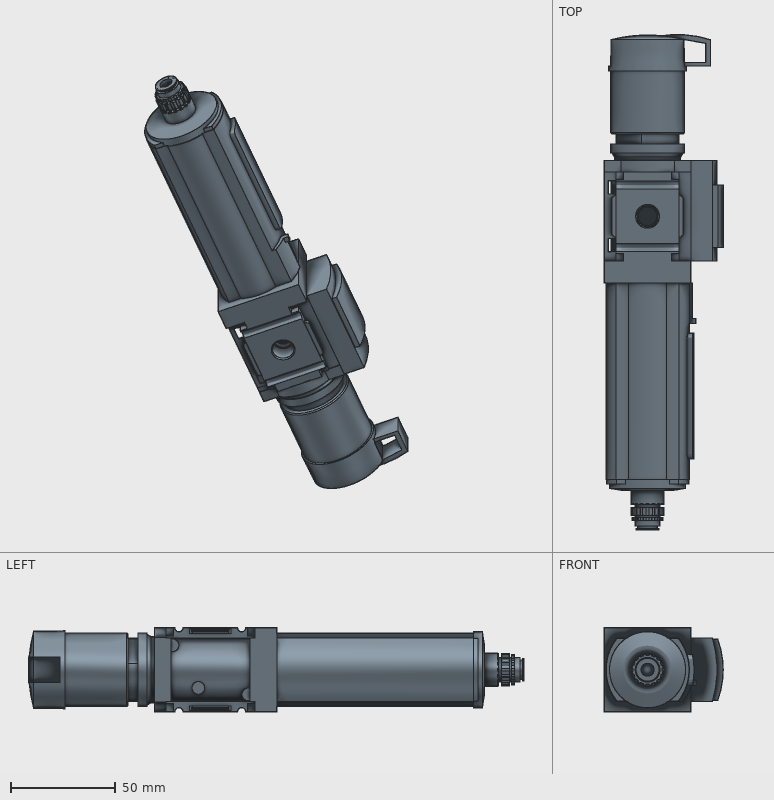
import cadquery as cq
import math


Y_KNOB_TOP = 87.0
Y_CAP_EDGE = 84.5
Y_SLOT_FLOOR = 71.9
Y_CAP_BASE = 69.5
Y_KNOB_BOTTOM = 39.4
Y_NECK_BOTTOM = 34.6
Y_RING_BOTTOM = 30.4
Y_CONE_BOTTOM = 28.3
Y_HOUSING_TOP = 26.8
Y_PLATE_TOP = 21.1
Y_BLOCK_TOP = -21.4
Y_HOUSING_BOTTOM = -31.8
Y_BOWL_END = -126.0
Y_LIP_END = -128.1
Y_BOWL_RIM = -130.2
Y_BOWL_FACE = -131.3
Y_DRAIN_END = -150.01

HOUSING_HALF_WIDTH = 20.75
HOUSING_HALF_HEIGHT = 20.1
LUG_HALF_HEIGHT = 15.5
RAIL_HALF_HEIGHT = 15.1
PLATE_HALF_WIDTH = 15.0
PAD_HALF_WIDTH = 17.2
PAD_HALF_LENGTH = 10.0
PAD_BEVEL = 1.4
PAD_LOW_Z = 17.4
PAD_HIGH_Z = 19.5
PAD_GROOVE_SIZE = 0.3
PAD_GROOVE_Z = (18.1, 18.8)
PORT_MOUTH_DIAMETER = 11.4
PORT_DIAMETER = 10.2
PORT_BEVEL = 0.6
PORT_DEPTH = 9.0
PORT_CORE_DIAMETER = 8.9
PORT_CORE_DEPTH = 12.0
GROOVE_Y = 15.0
GROOVE_RADIUS = 1.9
NOTCH_INNER_X = 11.4
NOTCH_LENGTH = 3.6
NOTCH_FLOOR_Z = 16.2
WINDOW_TOP_Y = 18.9
WINDOW_BOTTOM_Y = -19.1
WINDOW_HALF_HEIGHT = 14.6
CORE_RADIUS = 17.6
POCKET_INNER_X = -15.2
POCKET_OUTER_X = -18.7
POCKET_LENGTH = 6.2
POCKET_Y = 13.8
PIN_DIAMETER = 6.1
PIN_END_X = -17.0
WINDOW_PIN_YZ = [(5.7, -8.7), (18.1, 11.7), (-18.2, -11.8)]

COVER_HALF_HEIGHT = 15.2
COVER_EDGE_X = 31.0
COVER_CROWN_X = 33.2
GAUGE_HALF_HEIGHT = 14.6
GAUGE_HALF_LENGTH = 15.0
GAUGE_EDGE_X = 33.6
GAUGE_CROWN_X = 36.25

NECK_RADIUS = 15.1
NECK_FLAT_DISTANCE = 12.55
NECK_FLAT_TILT = 45
RING_RADIUS = 17.7
CONE_RADIUS = 17.1
COLLAR_RADIUS = 15.8

BOWL_RADIUS = 17.6
BOWL_HALF_WIDTH = 20.0
BOWL_FLAT_HALF_WIDTH = 15.0
BOWL_FLAT_Z = 15.1
BOWL_LIP_RECESS = 0.2
BOWL_RIM_RADIUS = 18.2
BOWL_HUB_RADIUS = 11.4

DRAIN_RADIUS = 7.9
DRAIN_CORE_RADIUS = 5.9
DRAIN_BARB_RADIUS = 7.4
DRAIN_GROOVE_RADIUS = 4.7
DRAIN_RIM_RADIUS = 5.5
DRAIN_BORE_DIAMETER = 6.2
DRAIN_BORE_DEPTH = 8.0
DRAIN_TOOTH_COUNT = 16
DRAIN_TOOTH_GAP = 1.4
DRAIN_TOOTH_DEPTH = 1.0

KNOB_RADIUS = 17.7
KNOB_BEVEL = 0.6
CAP_BASE_RADIUS = 18.7
CAP_EDGE_RADIUS = 18.5
SLOT_WIDTH = 12.0
LOCK_INNER_X = -1.6
LOCK_WINDOW_X = 17.2
LOCK_OUTER_X = 30.2
LOCK_WALL = 2.4
LOCK_FOOT = 1.8
LOCK_EDGE_Y = 84.5


def box(x0, x1, y0, y1, z0, z1):
    """Box between two opposite corners."""
    return cq.Workplane("XY").box(x1 - x0, y1 - y0, z1 - z0, centered=False).translate((x0, y0, z0))


def section_along_y(sketch, y_top, y_bottom):
    """Extrude a section drawn in X and Z from y_top down to y_bottom."""
    return sketch(cq.Workplane("XZ", origin=(0, y_top, 0))).extrude(y_top - y_bottom)


def cylinder_along_y(radius, y_top, y_bottom):
    return section_along_y(lambda plane: plane.circle(radius), y_top, y_bottom)


def turned(profile):
    """Turn a (radius, y) profile, closed along the axis, about Y."""
    first_y = profile[0][1]
    last_y = profile[-1][1]
    points = [(0, first_y)] + profile + [(0, last_y)]
    return cq.Workplane("XY").polyline(points).close().revolve(360, (0, 0, 0), (0, 1, 0))


def stepped(steps, y_start):
    """Turned stack of plain cylinders given as (radius, lower y)."""
    profile = []
    y_upper = y_start
    for radius, y_lower in steps:
        profile += [(radius, y_upper), (radius, y_lower)]
        y_upper = y_lower
    return turned(profile)


def side_pads(side):
    """Bevelled, finely grooved pads on both flanks of the +Z or -Z port plate."""
    z_low, z_high = sorted((side * PAD_LOW_Z, side * PAD_HIGH_Z))
    pads = box(
        -PAD_HALF_WIDTH, PAD_HALF_WIDTH, -PAD_HALF_LENGTH, PAD_HALF_LENGTH, z_low, z_high
    ).edges("|Z").chamfer(PAD_BEVEL)
    for z in PAD_GROOVE_Z:
        z0 = side * z - PAD_GROOVE_SIZE / 2
        z1 = z0 + PAD_GROOVE_SIZE
        for x in (-PAD_HALF_WIDTH, PAD_HALF_WIDTH):
            x0 = x - PAD_GROOVE_SIZE
            x1 = x + PAD_GROOVE_SIZE
            pads = pads.cut(box(x0, x1, -PAD_HALF_LENGTH, PAD_HALF_LENGTH, z0, z1))
    return pads


def housing_block():
    rails = box(
        -HOUSING_HALF_WIDTH, HOUSING_HALF_WIDTH, Y_BLOCK_TOP, Y_PLATE_TOP,
        -RAIL_HALF_HEIGHT, RAIL_HALF_HEIGHT,
    )
    lugs = box(
        -HOUSING_HALF_WIDTH, HOUSING_HALF_WIDTH, Y_PLATE_TOP, Y_HOUSING_TOP,
        -LUG_HALF_HEIGHT, LUG_HALF_HEIGHT,
    )
    block = box(
        -HOUSING_HALF_WIDTH, HOUSING_HALF_WIDTH, Y_HOUSING_BOTTOM, Y_BLOCK_TOP,
        -HOUSING_HALF_HEIGHT, HOUSING_HALF_HEIGHT,
    )
    plates = box(
        -PLATE_HALF_WIDTH, PLATE_HALF_WIDTH, Y_BLOCK_TOP, Y_PLATE_TOP,
        -HOUSING_HALF_HEIGHT, HOUSING_HALF_HEIGHT,
    )
    collar = cylinder_along_y(HOUSING_HALF_HEIGHT, Y_HOUSING_TOP, Y_PLATE_TOP)
    body = rails.union(lugs).union(block).union(plates).union(collar)
    return body.union(side_pads(1)).union(side_pads(-1))


def window_cut():
    """Side window on -X that leaves the round core and the pin ends standing."""
    opening = box(
        -HOUSING_HALF_WIDTH, 0, WINDOW_BOTTOM_Y, WINDOW_TOP_Y,
        -WINDOW_HALF_HEIGHT, WINDOW_HALF_HEIGHT,
    )
    core = cylinder_along_y(CORE_RADIUS, WINDOW_TOP_Y, WINDOW_BOTTOM_Y)
    opening = opening.cut(core)
    for y, z in WINDOW_PIN_YZ:
        pin = cq.Workplane("YZ", origin=(PIN_END_X, y, z)).circle(PIN_DIAMETER / 2).extrude(-PIN_END_X)
        opening = opening.cut(pin)
    return opening


def face_cuts(side):
    """Port, clip grooves, notches and pockets on the +Z (side 1) or -Z (side -1) face."""
    top = HOUSING_HALF_HEIGHT
    port_plane = cq.Workplane("XY", origin=(0, 0, side * top))
    cuts = port_plane.circle(PORT_DIAMETER / 2).extrude(-side * PORT_DEPTH)
    mouth = (
        port_plane.circle(PORT_MOUTH_DIAMETER / 2)
        .workplane(offset=-side * PORT_BEVEL)
        .circle(PORT_DIAMETER / 2)
        .loft(combine=False)
    )
    cuts = cuts.union(mouth)
    cuts = cuts.union(port_plane.circle(PORT_CORE_DIAMETER / 2).extrude(-side * PORT_CORE_DEPTH))
    for y in (-GROOVE_Y, GROOVE_Y):
        groove = cq.Workplane("YZ", origin=(-PLATE_HALF_WIDTH, y, side * top))
        cuts = cuts.union(groove.circle(GROOVE_RADIUS).extrude(2 * PLATE_HALF_WIDTH))
    z_low, z_high = sorted((side * NOTCH_FLOOR_Z, side * top))
    for y0 in (Y_BLOCK_TOP, Y_PLATE_TOP - NOTCH_LENGTH):
        for x0 in (-PLATE_HALF_WIDTH, NOTCH_INNER_X):
            x1 = x0 + PLATE_HALF_WIDTH - NOTCH_INNER_X
            cuts = cuts.union(box(x0, x1, y0, y0 + NOTCH_LENGTH, z_low, z_high))
    z_low, z_high = sorted((side * WINDOW_HALF_HEIGHT, side * RAIL_HALF_HEIGHT))
    for y in (-POCKET_Y, POCKET_Y):
        y0 = y - POCKET_LENGTH / 2
        cuts = cuts.union(box(POCKET_OUTER_X, POCKET_INNER_X, y0, y0 + POCKET_LENGTH, z_low, z_high))
    return cuts


def crowned_block(x_base, x_edge, x_crown, half_height, y_top, y_bottom):
    """Block on the +X side whose outer face is an arc in X and Z."""
    def outline(plane):
        return (
            plane.moveTo(x_base, -half_height)
            .lineTo(x_edge, -half_height)
            .threePointArc((x_crown, 0), (x_edge, half_height))
            .lineTo(x_base, half_height)
            .close()
        )
    return section_along_y(outline, y_top, y_bottom)


def cover():
    plate = crowned_block(
        HOUSING_HALF_WIDTH, COVER_EDGE_X, COVER_CROWN_X, COVER_HALF_HEIGHT, Y_HOUSING_TOP, Y_BLOCK_TOP
    )
    gauge = crowned_block(
        HOUSING_HALF_WIDTH, GAUGE_EDGE_X, GAUGE_CROWN_X, GAUGE_HALF_HEIGHT,
        GAUGE_HALF_LENGTH, -GAUGE_HALF_LENGTH,
    )
    return plate.union(gauge)


def regulator_neck():
    neck = cylinder_along_y(NECK_RADIUS, Y_KNOB_BOTTOM, Y_NECK_BOTTOM)
    flat = box(
        -NECK_RADIUS, NECK_RADIUS, Y_NECK_BOTTOM, Y_KNOB_BOTTOM, NECK_FLAT_DISTANCE, NECK_RADIUS
    ).rotate((0, 0, 0), (0, 1, 0), -NECK_FLAT_TILT)
    rings = turned([
        (RING_RADIUS, Y_NECK_BOTTOM),
        (RING_RADIUS, Y_RING_BOTTOM),
        (CONE_RADIUS, Y_RING_BOTTOM),
        (COLLAR_RADIUS, Y_CONE_BOTTOM),
        (COLLAR_RADIUS, Y_HOUSING_TOP),
    ])
    return neck.cut(flat).union(rings)


def bowl_wings(y_top, y_bottom, offset):
    """Flat-topped section with bulging sides, grown outwards by offset."""
    x_corner = BOWL_FLAT_HALF_WIDTH + offset
    x_side = BOWL_HALF_WIDTH + offset
    z_flat = BOWL_FLAT_Z + min(offset, 0)

    def outline(plane):
        return (
            plane.moveTo(-x_corner, -z_flat)
            .lineTo(x_corner, -z_flat)
            .threePointArc((x_side, 0), (x_corner, z_flat))
            .lineTo(-x_corner, z_flat)
            .threePointArc((-x_side, 0), (-x_corner, -z_flat))
            .close()
        )
    return section_along_y(outline, y_top, y_bottom)


def bowl():
    shell = cylinder_along_y(BOWL_RADIUS, Y_HOUSING_BOTTOM, Y_BOWL_END)
    shell = shell.union(bowl_wings(Y_HOUSING_BOTTOM, Y_BOWL_END, 0))
    shell = shell.union(bowl_wings(Y_BOWL_END, Y_LIP_END, -BOWL_LIP_RECESS))
    end_cap = turned([
        (BOWL_RIM_RADIUS, Y_BOWL_END),
        (BOWL_RIM_RADIUS, Y_BOWL_RIM),
        (BOWL_HUB_RADIUS, Y_BOWL_FACE),
    ])
    return shell.union(end_cap)


SLIDE_LENGTH = 19.6
SLIDE_THICKNESS = 2.0
SLIDE_TOP_Z = -5.0
TAB_LENGTH = 2.6
TAB_OUTER_X = 23.1
TAB_HEIGHT = 2.5


def release_slide():
    y_end = Y_HOUSING_BOTTOM - SLIDE_LENGTH
    strip = bowl_wings(Y_HOUSING_BOTTOM, y_end, SLIDE_THICKNESS).intersect(
        box(BOWL_FLAT_HALF_WIDTH, TAB_OUTER_X, y_end, Y_HOUSING_BOTTOM, -BOWL_FLAT_Z, SLIDE_TOP_Z)
    )
    tab = box(
        BOWL_FLAT_HALF_WIDTH, TAB_OUTER_X, y_end, y_end + TAB_LENGTH, SLIDE_TOP_Z - TAB_HEIGHT, SLIDE_TOP_Z
    )
    return strip.union(tab)


SIGHT_TOP_Y = -55.9
SIGHT_BOTTOM_Y = -116.2
SIGHT_EDGE_X = 21.4
SIGHT_CROWN_X = 22.2
SIGHT_HALF_HEIGHT = 7.2
SIGHT_CORNER_RADIUS = 2.4


def sight_rail():
    rail = crowned_block(
        BOWL_FLAT_HALF_WIDTH, SIGHT_EDGE_X, SIGHT_CROWN_X, SIGHT_HALF_HEIGHT, SIGHT_TOP_Y, SIGHT_BOTTOM_Y
    )
    return rail.edges("|X").fillet(SIGHT_CORNER_RADIUS)


DRAIN_STEPS = [
    (DRAIN_RADIUS, -138.0),
    (DRAIN_CORE_RADIUS, -139.4),
    (DRAIN_RADIUS, -143.1),
    (DRAIN_CORE_RADIUS, -144.0),
    (DRAIN_BARB_RADIUS, -145.5),
    (DRAIN_CORE_RADIUS, -148.3),
    (DRAIN_GROOVE_RADIUS, -149.4),
    (DRAIN_RIM_RADIUS, Y_DRAIN_END),
]
TOOTH_TOP_Y = -137.5
TOOTH_BOTTOM_Y = -145.5


def drain():
    stem = stepped(DRAIN_STEPS, Y_BOWL_FACE)
    gap = box(
        -DRAIN_TOOTH_GAP / 2, DRAIN_TOOTH_GAP / 2, TOOTH_BOTTOM_Y, TOOTH_TOP_Y,
        DRAIN_RADIUS - DRAIN_TOOTH_DEPTH, DRAIN_RADIUS + DRAIN_TOOTH_DEPTH,
    )
    for index in range(DRAIN_TOOTH_COUNT):
        stem = stem.cut(gap.rotate((0, 0, 0), (0, 1, 0), index * 360 / DRAIN_TOOTH_COUNT))
    bore = cylinder_along_y(DRAIN_BORE_DIAMETER / 2, Y_DRAIN_END + DRAIN_BORE_DEPTH, Y_DRAIN_END)
    return stem.cut(bore)


def make_housing():
    body = housing_block().cut(window_cut())
    for side in (1, -1):
        body = body.cut(face_cuts(side))
    for piece in (cover(), regulator_neck(), bowl(), release_slide(), sight_rail(), drain()):
        body = body.union(piece)
    return body


def make_knob():
    """Turned knob with a tapered, domed cap and a lock slot across it along X."""
    mid_radius = CAP_EDGE_RADIUS / 2
    dome_height = Y_KNOB_TOP - Y_CAP_EDGE
    dome_radius = (CAP_EDGE_RADIUS ** 2 + dome_height ** 2) / (2 * dome_height)
    mid_drop = dome_radius - math.sqrt(dome_radius ** 2 - mid_radius ** 2)
    turned_knob = (
        cq.Workplane("XY")
        .moveTo(0, Y_KNOB_BOTTOM)
        .lineTo(KNOB_RADIUS - KNOB_BEVEL, Y_KNOB_BOTTOM)
        .lineTo(KNOB_RADIUS, Y_KNOB_BOTTOM + KNOB_BEVEL)
        .lineTo(KNOB_RADIUS, Y_CAP_BASE)
        .lineTo(CAP_BASE_RADIUS, Y_CAP_BASE)
        .lineTo(CAP_EDGE_RADIUS, Y_CAP_EDGE)
        .threePointArc((mid_radius, Y_KNOB_TOP - mid_drop), (0, Y_KNOB_TOP))
        .close()
        .revolve(360, (0, 0, 0), (0, 1, 0))
    )
    slot = box(
        -CAP_BASE_RADIUS, CAP_BASE_RADIUS, Y_SLOT_FLOOR, Y_KNOB_TOP, -SLOT_WIDTH / 2, SLOT_WIDTH / 2
    )
    return turned_knob.cut(slot)


def make_lock():
    """Lock slide in the cap slot with a hoop for a padlock outside the cap."""
    crown_x = (LOCK_INNER_X + LOCK_OUTER_X) / 2
    half = SLOT_WIDTH / 2
    slide = (
        cq.Workplane("XY", origin=(0, 0, -half))
        .moveTo(LOCK_INNER_X, Y_SLOT_FLOOR)
        .lineTo(LOCK_OUTER_X, Y_SLOT_FLOOR)
        .lineTo(LOCK_OUTER_X, LOCK_EDGE_Y)
        .threePointArc((crown_x, Y_KNOB_TOP), (LOCK_INNER_X, LOCK_EDGE_Y))
        .close()
        .extrude(SLOT_WIDTH)
    )
    hoop_window = (
        cq.Workplane("XY", origin=(0, 0, -half))
        .moveTo(LOCK_WINDOW_X, Y_SLOT_FLOOR + LOCK_FOOT)
        .lineTo(LOCK_OUTER_X - LOCK_WALL, Y_SLOT_FLOOR + LOCK_FOOT)
        .lineTo(LOCK_OUTER_X - LOCK_WALL, LOCK_EDGE_Y - LOCK_FOOT)
        .lineTo(LOCK_WINDOW_X, Y_KNOB_TOP - LOCK_WALL)
        .close()
        .extrude(SLOT_WIDTH)
    )
    return slide.cut(hoop_window)


housing = make_housing()
knob = make_knob()
lock = make_lock()

result = cq.Compound.makeCompound([housing.val(), knob.val(), lock.val()])